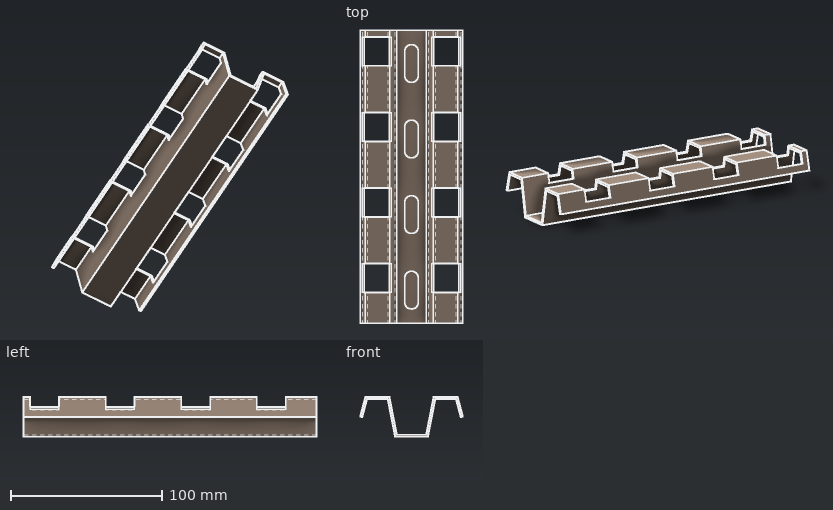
import cadquery as cq
import math

length = 194.0
width = 68.09
height = 26.45
sheet = 1.5

floor_half_width = 9.7
web_angle = 11.0
flange_width = 16.0
lip_drop = 13.15

pitch = 50.0
count = 4
window_length = 19.0
window_end_margin = 14.0
window_web_depth = 6.5
window_lip_depth = 8.1

slot_length = 25.0
slot_width = 9.0
slot_depth = 0.2
slot_end_margin = (length - (count - 1) * pitch) / 2

web_lean = math.tan(math.radians(web_angle))
web_top_x = floor_half_width + (height - sheet) * web_lean
flange_edge_x = web_top_x + flange_width
lip_edge_x = width / 2
lip_angle = math.degrees(math.atan2(lip_edge_x - flange_edge_x, lip_drop))


def bend_shift(angle):
    """Sideways offset between the two faces of the sheet at a bend."""
    return sheet * math.tan(math.radians(90 - angle) / 2)


def row_positions(end_margin):
    """Y centres of a row of features, starting from the +Y end."""
    return [length / 2 - end_margin - i * pitch for i in range(count)]


def make_rail():
    """Constant-thickness folded sheet, square-cut at the lip edges."""
    lip_tilt = math.radians(lip_angle)
    web_shift = bend_shift(web_angle)
    lip_shift = bend_shift(lip_angle)
    upper = [
        (floor_half_width, sheet),
        (web_top_x, height),
        (flange_edge_x, height),
        (lip_edge_x, height - lip_drop),
    ]
    lower = [
        (lip_edge_x - sheet * math.cos(lip_tilt), height - lip_drop - sheet * math.sin(lip_tilt)),
        (flange_edge_x - lip_shift, height - sheet),
        (web_top_x + web_shift, height - sheet),
        (floor_half_width + web_shift, 0),
    ]
    right_half = upper + lower
    left_half = [(-x, z) for x, z in reversed(right_half)]
    outline = cq.Workplane("XZ").polyline(right_half + left_half).close()
    return outline.extrude(length / 2, both=True)


def make_window_cutter(side, y):
    """Block through the flange whose lower ends cut the web and lip square to the sheet."""
    web_tilt = math.radians(web_angle)
    lip_tilt = math.radians(lip_angle)
    web_x = web_top_x - window_web_depth * math.tan(web_tilt)
    web_z = height - window_web_depth
    lip_x = flange_edge_x + window_lip_depth * math.tan(lip_tilt)
    lip_z = height - window_lip_depth
    outline = [
        (web_x, height),
        (web_x, web_z),
        (web_x + sheet * math.cos(web_tilt), web_z - sheet * math.sin(web_tilt)),
        (lip_x - sheet * math.cos(lip_tilt), lip_z - sheet * math.sin(lip_tilt)),
        (lip_x, lip_z),
        (lip_x, height),
    ]
    block = cq.Workplane("XZ").polyline([(side * x, z) for x, z in outline]).close()
    return block.extrude(window_length / 2, both=True).translate((0, y, 0))


def make_slot_cutter(y):
    slot = cq.Workplane("XY").slot2D(slot_length, slot_width, 90).extrude(slot_depth)
    return slot.translate((0, y, sheet - slot_depth))


result = make_rail()
for window_y in row_positions(window_end_margin):
    for side in (-1, 1):
        result = result.cut(make_window_cutter(side, window_y))
for slot_y in row_positions(slot_end_margin):
    result = result.cut(make_slot_cutter(slot_y))